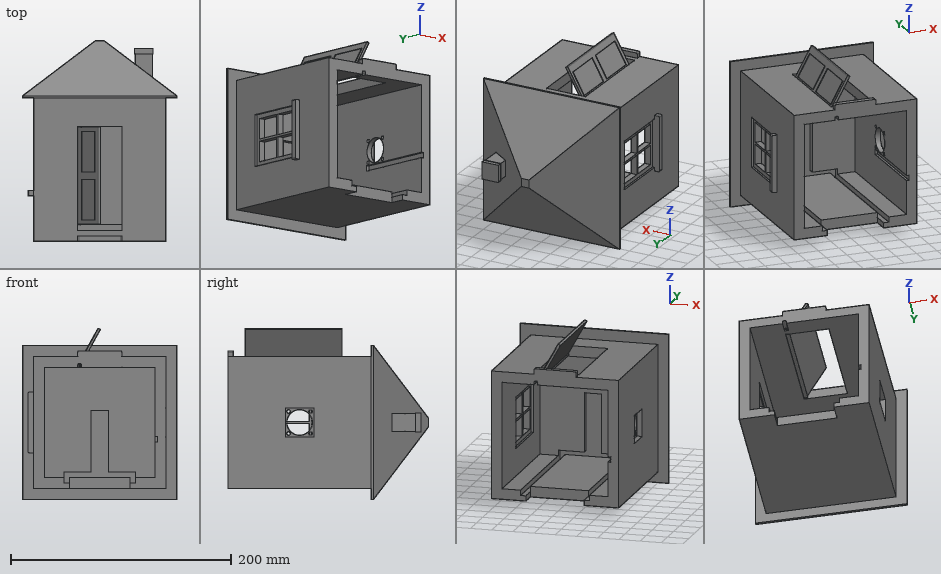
import cadquery as cq

house_width = 120.0
house_height = 130.0
wall = 10.0
ceiling = 5.0
outer_half = house_width / 2
inner_half = outer_half - wall

doorway_width = 40.0
doorway_bottom = 10.0
doorway_top = 104.0
door_clearance = 0.5
doorway_left = -doorway_width / 2
step_depth = 5.0
step_height = 5.0
step_fillet = 1.3
ledge_height = 5.0
ledge_thickness = 5.0

door_angle = 61.0
door_thickness = 2.5
door_reach = 37.78
door_bottom = doorway_bottom + ledge_height
knuckle_radius = 1.75
pin_radius = 0.75
pin_length = 5.0
hinge_x = doorway_left + knuckle_radius
hinge_z = inner_half + knuckle_radius
door_panel_length = 36.75
door_panel_width = 24.0
door_panel_gap = 6.5
door_panel_tip_margin = 7.0
door_tip_fillet = 0.5
door_panel_depth = 0.5

window_center_y = 75.0
frame_margin = 4.0
frame_recess = 2.0
pane_length = 23.5
pane_width = 19.0
muntin_y = 2.5
muntin_z = 2.0
frame_length = 2 * pane_length + muntin_y + 2 * frame_margin
frame_width = 2 * pane_width + muntin_z + 2 * frame_margin
sill_top = window_center_y - frame_length / 2
sill_thickness = 5.0
sill_width = 55.0
sill_depth = 5.0
sill_fillet = 1.0

sensor_y = 65.0
sensor_hole_diameter = 23.0
sensor_screw_diameter = 3.0
sensor_screw_spacing = 20.0
sensor_pocket_size = 26.0
sensor_pocket_depth = 5.0

side_channel_z = -15.0
side_channel_width = 5.0
side_channel_depth = 2.5
side_channel_end = 77.0
floor_channel_inner = 27.5
floor_channel_outer = 32.5
floor_channel_depth = 5.0
floor_notch_length = 15.0
ceiling_slot_rise = 5.0
ceiling_stem_width = 16.0
ceiling_stem_top = 10.75

roof_width = 140.0
eave_thickness = 2.0
roof_top = 182.0
roof_flat = 8.0
chimney_x = 40.0
chimney_width = 16.0
chimney_top = 175.0
chimney_cap_width = 17.0
chimney_cap_height = 5.0


def box(x0, x1, y0, y1, z0, z1):
    return cq.Workplane("XY").box(x1 - x0, y1 - y0, z1 - z0, centered=False).translate((x0, y0, z0))


def rod_y(radius, x, z, y0, y1):
    return cq.Workplane("XZ", origin=(x, y0, z)).circle(radius).extrude(y0 - y1)


def rod_x(radius, y, z, x0, x1):
    return cq.Workplane("YZ", origin=(x0, y, z)).circle(radius).extrude(x1 - x0)


def hinge_pin():
    return rod_y(pin_radius, hinge_x, hinge_z, door_bottom - pin_length, doorway_top + pin_length)


def make_shell():
    shell = box(-outer_half, outer_half, 0, house_height, -outer_half, outer_half)
    room = box(-inner_half, inner_half, 0, house_height - ceiling, -inner_half, inner_half)
    return shell.cut(room)


def add_doorway(house):
    opening = box(doorway_left, -doorway_left, doorway_bottom, doorway_top, inner_half, outer_half)
    ledge = box(doorway_left, -doorway_left, doorway_bottom, door_bottom,
                inner_half, inner_half + ledge_thickness)
    step = box(doorway_left, -doorway_left, 0, step_depth, outer_half, outer_half + step_height)
    step = step.edges("|Y and >Z").fillet(step_fillet)
    house = house.cut(opening).union(ledge).union(step)
    keyway = rod_y(knuckle_radius, hinge_x, hinge_z, 0, doorway_bottom).union(
        box(hinge_x - knuckle_radius, hinge_x + knuckle_radius, 0, doorway_bottom, inner_half, hinge_z))
    return house.cut(keyway).cut(hinge_pin())


def add_window(house):
    y0 = window_center_y - frame_length / 2
    y1 = window_center_y + frame_length / 2
    z1 = frame_width / 2
    house = house.cut(box(-outer_half, -outer_half + frame_recess, y0, y1, -z1, z1))
    house = house.cut(box(-inner_half - frame_recess, -inner_half, y0, y1, -z1, z1))
    for side_y in (-1, 1):
        for side_z in (-1, 1):
            pane = cq.Workplane("XY").box(wall, pane_length, pane_width).translate((
                -outer_half + wall / 2,
                window_center_y + side_y * (pane_length + muntin_y) / 2,
                side_z * (pane_width + muntin_z) / 2))
            house = house.cut(pane)
    sill = box(-outer_half - sill_depth, -outer_half, sill_top - sill_thickness, sill_top,
               -sill_width / 2, sill_width / 2)
    return house.union(sill.edges("|Y and <X").fillet(sill_fillet))


def add_sensor_mount(house):
    half = sensor_pocket_size / 2
    house = house.cut(box(outer_half - sensor_pocket_depth, outer_half,
                          sensor_y - half, sensor_y + half, -half, half))
    house = house.cut(rod_x(sensor_hole_diameter / 2, sensor_y, 0, inner_half, outer_half))
    offset = sensor_screw_spacing / 2
    for dy in (-offset, offset):
        for dz in (-offset, offset):
            house = house.cut(rod_x(sensor_screw_diameter / 2, sensor_y + dy, dz, inner_half, outer_half))
    return house


def add_channels(house):
    half = side_channel_width / 2
    house = house.cut(box(inner_half, inner_half + side_channel_depth, 0, side_channel_end,
                          side_channel_z - half, side_channel_z + half))
    groove_bottom = -inner_half - floor_channel_depth
    for x0 in (-floor_channel_outer, floor_channel_inner):
        x1 = x0 + floor_channel_outer - floor_channel_inner
        house = house.cut(box(x0, x1, 0, house_height, groove_bottom, -inner_half))
    house = house.cut(box(-floor_channel_inner, floor_channel_inner, 0, floor_notch_length,
                          -outer_half, -inner_half))
    ceiling_bottom = house_height - ceiling
    bar = box(-floor_channel_outer, floor_channel_outer, ceiling_bottom, house_height,
              -inner_half, -inner_half + ceiling_slot_rise)
    stem = box(-ceiling_stem_width / 2, ceiling_stem_width / 2, ceiling_bottom, house_height,
               -inner_half, ceiling_stem_top)
    return house.cut(bar).cut(stem)


def make_roof():
    half = roof_width / 2
    eave_top = house_height + eave_thickness
    eave = box(-half, half, house_height, eave_top, -half, half)
    slopes = (cq.Workplane("XZ", origin=(0, eave_top, 0)).rect(roof_width, roof_width)
              .workplane(offset=eave_top - roof_top).rect(roof_flat, roof_flat).loft(ruled=True))
    w = chimney_width / 2
    chimney = box(chimney_x - w, chimney_x + w, eave_top, chimney_top, -w, w)
    c = chimney_cap_width / 2
    cap = box(chimney_x - c, chimney_x + c, chimney_top - chimney_cap_height, chimney_top, -c, c)
    return eave.union(slopes).union(chimney).union(cap)


def make_door():
    outer_z = hinge_z + knuckle_radius
    tip_x = hinge_x + door_reach
    inner_z = outer_z - door_thickness
    leaf_bottom = door_bottom + door_clearance
    leaf_top = doorway_top - door_clearance
    leaf = box(hinge_x, tip_x, leaf_bottom, leaf_top, inner_z, outer_z)
    leaf = leaf.edges("|Y and >X and >Z").fillet(door_tip_fillet)
    door = leaf.union(rod_y(knuckle_radius, hinge_x, hinge_z, leaf_bottom, leaf_top))
    mid_y = (door_bottom + doorway_top) / 2
    panel_x1 = tip_x - door_panel_tip_margin
    for y0 in (mid_y + door_panel_gap / 2, mid_y - door_panel_gap / 2 - door_panel_length):
        door = door.cut(box(panel_x1 - door_panel_width, panel_x1, y0, y0 + door_panel_length,
                            outer_z - door_panel_depth, outer_z))
    door = door.union(hinge_pin())
    return door.rotate((hinge_x, 0, hinge_z), (hinge_x, 1, hinge_z), -door_angle)


house = make_shell()
house = add_doorway(house)
house = add_window(house)
house = add_sensor_mount(house)
house = add_channels(house)
roof = make_roof()
door = make_door()

result = cq.Compound.makeCompound([house.val(), roof.val(), door.val()])